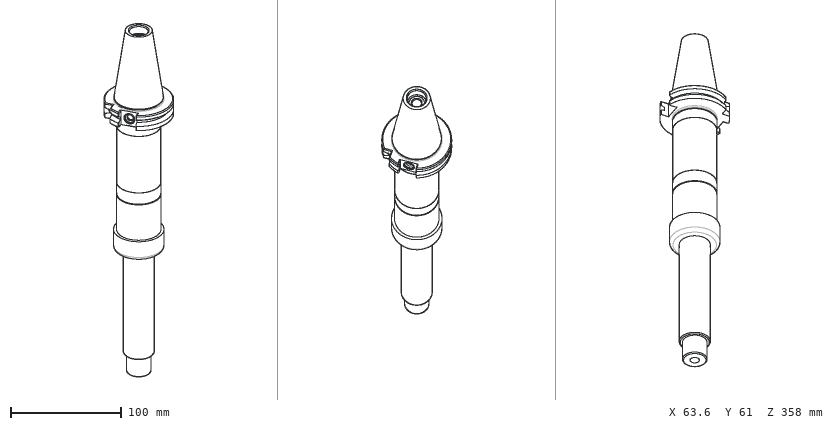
import cadquery as cq
import math


taper_ratio = 7 / 24
taper_tip_diameter = 24.7
taper_length = 68.4
taper_end = -1.4
shank_root_radius = 0.8
shank_relief_depth = 0.2

flange_top = -3.2
flange_bottom = -18.4
flange_diameter = 63.55
flange_edge_chamfer = 1.0
groove_center = (flange_top + flange_bottom) / 2
groove_bottom_diameter = 55.6
groove_rim_half_width = 3.2
groove_floor_half_width = 1.2

slot_width = 16.1
back_slot_floor = 22.6
front_slot_floor = 25.0
notch_offset = 18.5
mouth_chamfer = 0.85
slot_edge_chamfer = 0.85

recess_diameter = 10.5
recess_inner_diameter = 9.6
recess_depth = 1.0
countersink_diameter = 8.35
recess_core_diameter = 6.0
recess_core_depth = 4.0
drill_point_angle = 118.0

neck_end = -21.0
neck_diameter = 39.0
neck_root_radius = 1.0
body_diameter = 40.5
waist_diameter = 40.0
waist_top = -31.3
waist_bottom = -90.6
joint_groove_top = -102.5
joint_groove_width = 0.6

collar_top = -140.2
collar_bottom = -160.0
collar_diameter = 46.0
collar_round = 3.3

overall_length = 357.95
shaft_diameter = 28.3
tip_diameter = 22.3
tip_length = 20.0
end_chamfer = 1.0
tool_end = taper_length - overall_length
shaft_end = tool_end + tip_length

mouth_diameter = 19.0
counterbore_diameter = 17.0
counterbore_depth = 8.0
thread_core_diameter = 13.84
thread_core_depth = 8.5
coolant_bore_diameter = 8.38
coolant_mouth_diameter = 10.0


def turned_body():
    """Everything turned about the Z axis, from a half section of (radius, height) points."""
    shank_radius = (taper_tip_diameter + taper_ratio * (taper_length - taper_end)) / 2
    relief_radius = shank_radius - shank_relief_depth
    flange_radius = flange_diameter / 2
    groove_radius = groove_bottom_diameter / 2
    neck_radius = neck_diameter / 2
    body_radius = body_diameter / 2
    waist_radius = waist_diameter / 2
    collar_radius = collar_diameter / 2
    shaft_radius = shaft_diameter / 2
    tip_radius = tip_diameter / 2
    outline = (
        cq.Workplane("XZ")
        .moveTo(0, taper_length)
        .lineTo(taper_tip_diameter / 2, taper_length)
        .lineTo(shank_radius, taper_end)
        .lineTo(relief_radius, taper_end)
        .lineTo(relief_radius, flange_top + shank_root_radius)
        .radiusArc((relief_radius + shank_root_radius, flange_top), -shank_root_radius)
        .lineTo(flange_radius - flange_edge_chamfer, flange_top)
        .lineTo(flange_radius, flange_top - flange_edge_chamfer)
        .lineTo(flange_radius, groove_center + groove_rim_half_width)
        .lineTo(groove_radius, groove_center + groove_floor_half_width)
        .lineTo(groove_radius, groove_center - groove_floor_half_width)
        .lineTo(flange_radius, groove_center - groove_rim_half_width)
        .lineTo(flange_radius, flange_bottom)
        .lineTo(neck_radius + neck_root_radius, flange_bottom)
        .radiusArc((neck_radius, flange_bottom - neck_root_radius), -neck_root_radius)
        .lineTo(neck_radius, neck_end)
        .lineTo(body_radius, neck_end)
        .lineTo(body_radius, waist_top)
        .lineTo(waist_radius, waist_top)
        .lineTo(waist_radius, waist_bottom)
        .lineTo(body_radius, waist_bottom)
        .lineTo(body_radius, joint_groove_top)
        .lineTo(waist_radius, joint_groove_top)
        .lineTo(waist_radius, joint_groove_top - joint_groove_width)
        .lineTo(body_radius, joint_groove_top - joint_groove_width)
        .lineTo(body_radius, collar_top)
        .lineTo(collar_radius, collar_top)
        .lineTo(collar_radius, collar_bottom + collar_round)
        .radiusArc((collar_radius - collar_round, collar_bottom), collar_round)
        .lineTo(shaft_radius, collar_bottom)
        .lineTo(shaft_radius, shaft_end + end_chamfer)
        .lineTo(shaft_radius - end_chamfer, shaft_end)
        .lineTo(tip_radius, shaft_end)
        .lineTo(tip_radius, tool_end + end_chamfer)
        .lineTo(tip_radius - end_chamfer, tool_end)
        .lineTo(0, tool_end)
        .close()
    )
    return outline.revolve(360, (0, 0, 0), (0, 1, 0))


def slot_cutter(floor):
    """Drive slot toward +Y: flared at the rim and broken along its top edges."""
    half = slot_width / 2
    rim_y = math.sqrt((flange_diameter / 2) ** 2 - (half + mouth_chamfer) ** 2)
    flare_start = rim_y - mouth_chamfer
    reach = flange_diameter / 2 - flare_start
    plan = [
        (-half, floor),
        (half, floor),
        (half, flare_start),
        (half + reach, flare_start + reach),
        (-half - reach, flare_start + reach),
        (-half, flare_start),
    ]
    height = flange_top - flange_bottom
    slot = cq.Workplane("XY").workplane(offset=flange_bottom).polyline(plan).close().extrude(height)
    wide = half + slot_edge_chamfer
    section = [
        (-wide, flange_top),
        (wide, flange_top),
        (half, flange_top - slot_edge_chamfer),
        (-half, flange_top - slot_edge_chamfer),
    ]
    broken_edges = cq.Workplane("XZ", origin=(0, floor, 0)).polyline(section).close().extrude(-flange_diameter)
    return slot.union(broken_edges)


def notch_cutter():
    """Square corner cut through the flange in the -X -Y quadrant, with broken top edges."""
    side = flange_diameter / 2 - notch_offset
    grown_side = side + 2 * slot_edge_chamfer
    center = -notch_offset - side / 2
    plane = cq.Workplane("XY", origin=(center, center, flange_bottom))
    notch = plane.rect(side, side).extrude(flange_top - flange_bottom)
    broken_edges = (
        cq.Workplane("XY", origin=(center, center, flange_top))
        .rect(grown_side, grown_side)
        .workplane(offset=-slot_edge_chamfer)
        .rect(side, side)
        .loft(ruled=True)
    )
    return notch.union(broken_edges)


def front_recess():
    """Stepped round pocket with a drill point, sunk into the floor of the front drive slot."""
    core_radius = recess_core_diameter / 2
    point_height = core_radius / math.tan(math.radians(drill_point_angle / 2))
    countersink_depth = (countersink_diameter - recess_core_diameter) / 2
    lead_in = (recess_diameter - recess_inner_diameter) / 2
    outline = [
        (0, 0),
        (recess_diameter / 2, 0),
        (recess_inner_diameter / 2, lead_in),
        (recess_inner_diameter / 2, recess_depth),
        (countersink_diameter / 2, recess_depth),
        (core_radius, recess_depth + countersink_depth),
        (core_radius, recess_core_depth),
        (0, recess_core_depth + point_height),
    ]
    pocket = cq.Workplane("XY").polyline(outline).close().revolve(360, (0, 0, 0), (0, 1, 0))
    return pocket.translate((0, -front_slot_floor, groove_center))


def axial_bore():
    """Stepped bore along the whole part, with conical mouths."""
    counterbore_radius = counterbore_diameter / 2
    thread_radius = thread_core_diameter / 2
    coolant_radius = coolant_bore_diameter / 2
    coolant_mouth_radius = coolant_mouth_diameter / 2
    mouth_height = mouth_diameter / 2 - counterbore_radius
    counterbore_floor = taper_length - counterbore_depth
    thread_floor = taper_length - thread_core_depth
    outline = [
        (0, taper_length),
        (mouth_diameter / 2, taper_length),
        (counterbore_radius, taper_length - mouth_height),
        (counterbore_radius, counterbore_floor),
        (thread_radius, counterbore_floor),
        (thread_radius, thread_floor),
        (coolant_mouth_radius, thread_floor),
        (coolant_radius, thread_floor - (coolant_mouth_radius - coolant_radius)),
        (coolant_radius, tool_end),
        (0, tool_end),
    ]
    return cq.Workplane("XZ").polyline(outline).close().revolve(360, (0, 0, 0), (0, 1, 0))


result = (
    turned_body()
    .cut(slot_cutter(back_slot_floor))
    .cut(slot_cutter(front_slot_floor).rotate((0, 0, 0), (0, 0, 1), 180))
    .cut(notch_cutter())
    .cut(front_recess())
    .cut(axial_bore())
)